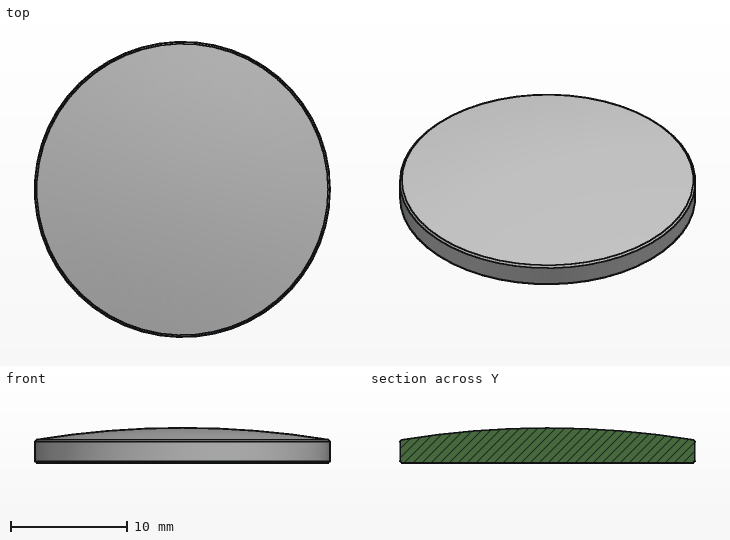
import cadquery as cq

diameter = 25.4
center_thickness = 3.05
bevel = 0.18
dome_edge_height = 2.03

radius = diameter / 2
dome_radius = radius - bevel
dome_rise = center_thickness - dome_edge_height
sphere_radius = (dome_radius**2 + dome_rise**2) / (2 * dome_rise)

mid_radius = dome_radius / 2
mid_height = center_thickness - sphere_radius + (sphere_radius**2 - mid_radius**2) ** 0.5

half_section = (
    cq.Workplane("XZ")
    .moveTo(0, 0)
    .lineTo(radius - bevel, 0)
    .lineTo(radius, bevel)
    .lineTo(radius, dome_edge_height - bevel)
    .lineTo(dome_radius, dome_edge_height)
    .threePointArc((mid_radius, mid_height), (0, center_thickness))
    .close()
)

result = half_section.revolve(360, (0, 0, 0), (0, 1, 0))